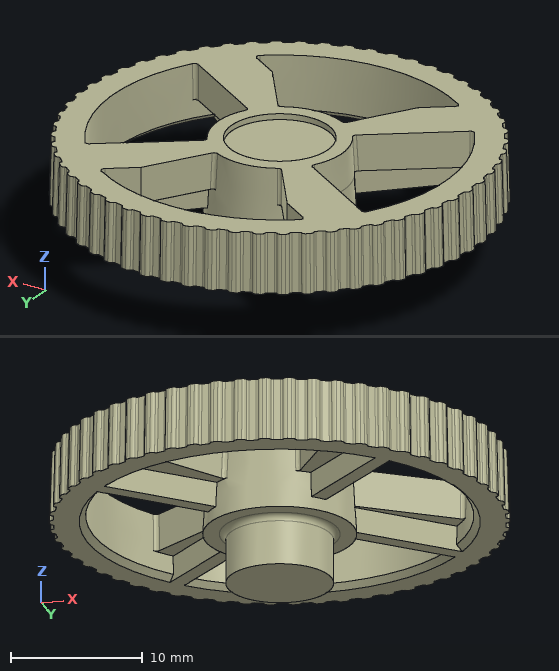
import cadquery as cq
import math

rim_height = 5.0
tip_radius = 17.5
tooth_depth = 0.3
tooth_count = 58
tip_land = 0.3
tip_rounding = 0.35
root_fillet = 0.2
rim_draft = 1.5
rim_bore_radius = 14.8
bore_draft = 1.0
bore_chamfer = 0.5

hub_top_radius = 5.53
hub_draft = 3.0
hub_drop = 1.0
shaft_radius = 4.1
shaft_length = 4.0
shaft_fillet = 0.5
recess_radius = 4.27
recess_depth = 0.5

spoke_thickness = 3.0
slot_corner_radius = 0.3
side_slot_angle = 34.6
cross_slot_apex = 0.5
cross_slot_kink = (6.4, 9.9)

rib_width = 1.25
rib_angle = 43.0

wedge_reach = 21.0

spoke_bottom = rim_height - spoke_thickness
rim_taper = math.tan(math.radians(rim_draft))
bore_taper = math.tan(math.radians(bore_draft))
hub_taper = math.tan(math.radians(hub_draft))
pitch = 2 * math.pi / tooth_count
first_tooth_angle = math.pi / 2
z_axis = ((0, 0, 0), (0, 0, 1))


def polar(radius, angle):
    return (radius * math.cos(angle), radius * math.sin(angle))


def hub_radius(z):
    return hub_top_radius + (rim_height - z) * hub_taper


def bore_radius(z):
    return rim_bore_radius - (rim_height - z) * bore_taper


def middle_of_arc(centre, radius, first, second):
    """Point on a circle halfway between the directions of two angles."""
    offset_x, offset_y = polar(radius, (first + second) / 2)
    return (centre[0] + offset_x, centre[1] + offset_y)


def turned(point, angle):
    """Point turned about the part axis."""
    return polar(math.hypot(*point), math.atan2(point[1], point[0]) + angle)


def mirrored(point):
    """Point reflected about the X axis."""
    return (point[0], -point[1])


def knurl_outline(z):
    """Closed outline of rounded teeth and filleted grooves at height z."""
    tip = tip_radius - z * rim_taper
    root = tip - tooth_depth
    rounding_distance = tip - tip_rounding
    fillet_distance = root + root_fillet
    centre_gap = tip_rounding + root_fillet

    spread = math.acos(
        (rounding_distance**2 + fillet_distance**2 - centre_gap**2)
        / (2 * rounding_distance * fillet_distance)
    )
    tip_end = tip_land / 2 / tip
    root_start = tip_end + spread

    rounding_centre = polar(rounding_distance, tip_end)
    fillet_centre = polar(fillet_distance, root_start)
    flank_x = fillet_centre[0] - rounding_centre[0]
    flank_y = fillet_centre[1] - rounding_centre[1]
    flank_angle = math.atan2(flank_y, flank_x)
    touch = (
        rounding_centre[0] + flank_x * tip_rounding / centre_gap,
        rounding_centre[1] + flank_y * tip_rounding / centre_gap,
    )
    rounding_middle = middle_of_arc(rounding_centre, tip_rounding, tip_end, flank_angle)
    fillet_middle = middle_of_arc(fillet_centre, root_fillet, flank_angle + math.pi, root_start + math.pi)

    arcs = [
        (polar(tip, 0), polar(tip, tip_end)),
        (rounding_middle, touch),
        (fillet_middle, polar(root, root_start)),
        (polar(root, pitch / 2), polar(root, pitch - root_start)),
        (turned(mirrored(fillet_middle), pitch), turned(mirrored(touch), pitch)),
        (turned(mirrored(rounding_middle), pitch), polar(tip, pitch - tip_end)),
    ]
    outline = cq.Workplane("XY", origin=(0, 0, z)).moveTo(*polar(tip, first_tooth_angle - tip_end))
    for tooth in range(tooth_count):
        tooth_angle = first_tooth_angle + tooth * pitch
        for middle, end in arcs:
            outline = outline.threePointArc(turned(middle, tooth_angle), turned(end, tooth_angle))
    return outline.close().wire().val()


def knurled_disc():
    return cq.Workplane(cq.Solid.makeLoft([knurl_outline(0), knurl_outline(rim_height)], True))


def hub():
    """Hub cone below the rim, its shaft and the fillet between them."""
    flange_radius = hub_radius(-hub_drop)
    shaft_top = -hub_drop - shaft_fillet
    middle_offset = shaft_fillet * (1 - math.sqrt(0.5))
    return (
        cq.Workplane("XZ")
        .lineTo(hub_radius(0), 0)
        .lineTo(flange_radius, -hub_drop)
        .lineTo(shaft_radius + shaft_fillet, -hub_drop)
        .threePointArc((shaft_radius + middle_offset, -hub_drop - middle_offset), (shaft_radius, shaft_top))
        .lineTo(shaft_radius, -hub_drop - shaft_length)
        .lineTo(0, -hub_drop - shaft_length)
        .close()
        .revolve()
    )


def ring_space(bottom, top):
    """Open space between the hub cone and the rim bore."""
    return (
        cq.Workplane("XZ")
        .moveTo(hub_radius(bottom), bottom)
        .lineTo(bore_radius(bottom), bottom)
        .lineTo(bore_radius(top), top)
        .lineTo(hub_radius(top), top)
        .close()
        .revolve()
    )


def bore_chamfer_cone():
    """Cone that bevels the lower edge of the rim bore."""
    edge_radius = bore_radius(bore_chamfer)
    return (
        cq.Workplane("XZ")
        .moveTo(hub_radius(0), 0)
        .lineTo(edge_radius + bore_chamfer, 0)
        .lineTo(edge_radius, bore_chamfer)
        .lineTo(hub_radius(bore_chamfer), bore_chamfer)
        .close()
        .revolve()
    )


def slot(wedge_points):
    """Part of the ring space inside a wedge, with its four corners rounded."""
    wedge = (
        cq.Workplane("XY", origin=(0, 0, spoke_bottom))
        .polyline(wedge_points)
        .close()
        .extrude(spoke_thickness)
    )
    opening = ring_space(spoke_bottom, rim_height).intersect(wedge)
    return opening.edges("not(<Z or >Z or |Z)").fillet(slot_corner_radius)


def side_slot():
    """Slot on the +X side, between two radial spoke edges."""
    edge_end = polar(wedge_reach, math.radians(side_slot_angle))
    return slot([(0, 0), edge_end, (edge_end[0], -edge_end[1])])


def cross_slot():
    """Slot on the +Y side, whose edges kink to run parallel to the opposite spoke edges."""
    kink_x, kink_y = cross_slot_kink
    run_x, run_y = polar(wedge_reach - kink_y, math.radians(side_slot_angle))
    end_x = kink_x + run_x
    end_y = kink_y + run_y
    return slot(
        [
            (0, cross_slot_apex),
            (kink_x, kink_y),
            (end_x, end_y),
            (-end_x, end_y),
            (-kink_x, kink_y),
        ]
    )


def ribs():
    """Two crossing webs that fill the ring space below the spokes along their middle lines."""
    web = cq.Workplane("XY").box(2 * wedge_reach, rib_width, spoke_bottom, centered=(True, True, False))
    return web.rotate(*z_axis, rib_angle).union(web.rotate(*z_axis, -rib_angle))


wheel = knurled_disc().union(hub())
wheel = wheel.cut(ring_space(0, spoke_bottom).union(bore_chamfer_cone()).cut(ribs()))
for opening in (side_slot(), cross_slot()):
    wheel = wheel.cut(opening).cut(opening.rotate(*z_axis, 180))

recess = cq.Workplane("XY", origin=(0, 0, rim_height)).circle(recess_radius).extrude(-recess_depth)
result = wheel.cut(recess)